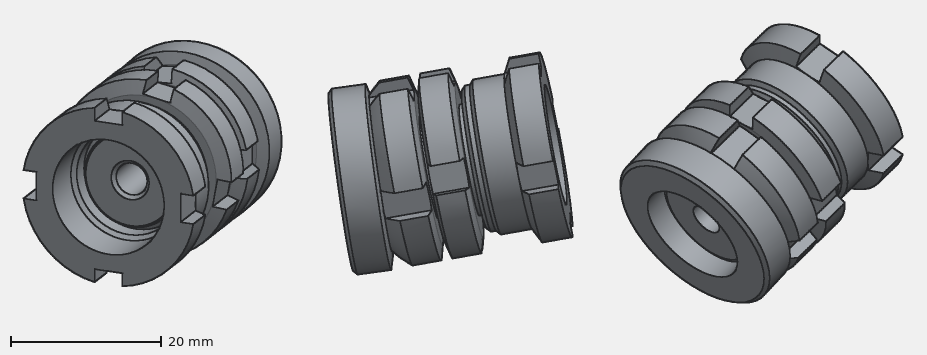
import cadquery as cq
import math


outer_radius = 12.5
land_radius = 10.48
bevel_angle = 15
bevel_slope = math.tan(math.radians(bevel_angle))
bevel_height = (outer_radius - land_radius) * bevel_slope
thread_radius = 7.5
notch_width = 4.02
notch_count = 4

flange_height = 4.0
flange_cone_top = 5.02
barrel_top = 9.25
sleeve_top = 10.99
collar_radius = 9.9
sleeve_chamfer = 0.53
sleeve_tip_radius = collar_radius - sleeve_chamfer
counterbore_radius = 8.1
counterbore_depth = 6.0

nut_bottom = 11.65
nut_height = 5.0
nut_turn = 10.0

stud_bottom = 7.18
stud_tip_radius = 6.45
stud_lead_length = 0.5
hole_radius = 2.25
hole_mouth_radius = 2.75
neck_radius = 6.7
relief_length = 2.0
head_bottom = 17.15
head_side_top = 21.53
head_top = 26.0
dome_radius = 16.0
stud_turn = -2.5

blend_radius = 0.6
blend_angle = math.radians(45)
blend_rise = blend_radius * (1 - math.cos(blend_angle))
blend_run = blend_radius * math.sin(blend_angle)
blend_middle_rise = blend_radius * (1 - math.cos(blend_angle / 2))
blend_middle_run = blend_radius * math.sin(blend_angle / 2)

dome_center = head_side_top - math.sqrt(dome_radius**2 - outer_radius**2)

washer_bottom = 23.55
washer_land_radius = 10.8
washer_side_height = 4.5
washer_chamfer = 0.53
washer_tilt_z = 2.5
washer_tilt_x = -0.5


def revolve_about_y(points):
    """Revolve a closed outline of (radius, y) points, placed on the -X side, about the Y axis."""
    outline = cq.Workplane("XY").polyline([(-radius, y) for radius, y in points]).close()
    return outline.revolve(360, (0, 0, 0), (0, 1, 0))


def cut_notches(body, bottom, top, turn):
    """Cut the spanner notches into the rim between two heights, turned about the Y axis."""
    notch = cq.Workplane("XY").box(notch_width, top - bottom, outer_radius, centered=(True, False, False))
    notch = notch.translate((0, bottom, land_radius))
    for index in range(notch_count):
        angle = turn + index * 360 / notch_count
        body = body.cut(notch.rotate((0, 0, 0), (0, 1, 0), angle))
    return body


def make_sleeve():
    """Flanged sleeve with a stepped upper end, a counterbore below and a threaded bore above."""
    sleeve = revolve_about_y([
        (counterbore_radius, 0),
        (outer_radius, 0),
        (outer_radius, flange_height),
        (land_radius, flange_cone_top),
        (land_radius, barrel_top),
        (collar_radius, barrel_top + sleeve_chamfer),
        (collar_radius, sleeve_top - sleeve_chamfer),
        (sleeve_tip_radius, sleeve_top),
        (thread_radius, sleeve_top),
        (thread_radius, counterbore_depth + counterbore_radius - thread_radius),
        (counterbore_radius, counterbore_depth),
    ])
    return cut_notches(sleeve, 0, flange_cone_top, 0)


def make_lock_nut():
    """Notched ring on the stud, beveled at both ends."""
    nut_top = nut_bottom + nut_height
    nut = revolve_about_y([
        (thread_radius, nut_bottom),
        (land_radius, nut_bottom),
        (outer_radius, nut_bottom + bevel_height),
        (outer_radius, nut_top - bevel_height),
        (land_radius, nut_top),
        (thread_radius, nut_top),
    ])
    return cut_notches(nut, nut_bottom, nut_top, nut_turn)


def dome_point(y):
    """Point of the dome surface at a height, on the -X side."""
    return (-math.sqrt(dome_radius**2 - (y - dome_center) ** 2), y)


def add_dome_arc(outline):
    """Continue an outline from the upper end of the head's side along the dome to its flat top."""
    return outline.threePointArc(dome_point((head_side_top + head_top) / 2), dome_point(head_top))


def make_stud():
    """Hollow threaded stud with a notched, domed head."""
    lead_bottom = stud_bottom + neck_radius - stud_tip_radius
    lead_top = lead_bottom + stud_lead_length
    root_radius = neck_radius + blend_rise
    thread_bottom = lead_top + blend_run + thread_radius - root_radius
    relief_bottom = head_bottom - relief_length
    outline = (
        cq.Workplane("XY")
        .moveTo(-hole_mouth_radius, stud_bottom)
        .lineTo(-stud_tip_radius, stud_bottom)
        .lineTo(-neck_radius, lead_bottom)
        .lineTo(-neck_radius, lead_top)
        .threePointArc(
            (-neck_radius - blend_middle_rise, lead_top + blend_middle_run),
            (-root_radius, lead_top + blend_run),
        )
        .lineTo(-thread_radius, thread_bottom)
        .lineTo(-thread_radius, relief_bottom - (thread_radius - neck_radius))
        .lineTo(-neck_radius, relief_bottom)
        .lineTo(-neck_radius, head_bottom - blend_run)
        .threePointArc(
            (-neck_radius - blend_middle_rise, head_bottom - blend_run + blend_middle_run),
            (-root_radius, head_bottom),
        )
        .lineTo(-land_radius, head_bottom)
        .lineTo(-outer_radius, head_bottom + bevel_height)
        .lineTo(-outer_radius, head_side_top)
    )
    outline = add_dome_arc(outline)
    outline = outline.lineTo(-hole_radius, head_top)
    outline = outline.lineTo(-hole_radius, stud_bottom + hole_mouth_radius - hole_radius).close()
    stud = outline.revolve(360, (0, 0, 0), (0, 1, 0))
    return cut_notches(stud, head_bottom, head_top, stud_turn)


def make_dome():
    """Solid cap of the ball that the head follows, used to cut its seat."""
    outline = cq.Workplane("XY").moveTo(0, head_side_top).lineTo(-outer_radius, head_side_top)
    outline = add_dome_arc(outline).lineTo(0, head_top).close()
    return outline.revolve(360, (0, 0, 0), (0, 1, 0))


def make_washer():
    """Tilted ring with a spherical seat that rests on the head."""
    side_bottom = washer_bottom + (outer_radius - washer_land_radius) * bevel_slope
    side_top = side_bottom + washer_side_height
    washer_top = side_top + washer_chamfer
    washer = revolve_about_y([
        (thread_radius, washer_bottom),
        (washer_land_radius, washer_bottom),
        (outer_radius, side_bottom),
        (outer_radius, side_top),
        (outer_radius - washer_chamfer, washer_top),
        (thread_radius, washer_top),
    ])
    pivot = cq.Vector(0, (side_bottom + side_top) / 2, 0)
    washer = washer.rotate(pivot, pivot + cq.Vector(0.3, 0, 0), washer_tilt_x)
    washer = washer.rotate(pivot, pivot + cq.Vector(0, 0, 0.3), washer_tilt_z)
    return washer.cut(make_dome())


sleeve = make_sleeve()
lock_nut = make_lock_nut()
stud = make_stud()
washer = make_washer()
result = cq.Compound.makeCompound([sleeve.val(), lock_nut.val(), stud.val(), washer.val()])